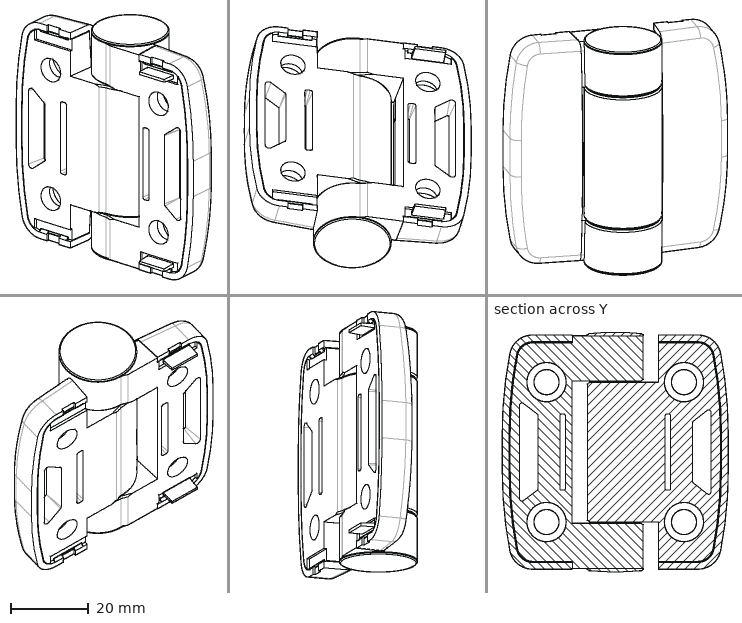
import cadquery as cq
import math


BARREL_R = 10.0
KNUCKLE_END_Z = 29.9
MIDDLE_HALF = 17.95
KNUCKLE_GAP = 0.25
KNUCKLE_CHAMFER = 0.45
CAP_TOP_Z = 31.25
CAP_RIM_Z = 30.45
CAP_RIM_CHAMFER = 0.3

BASE_Y = -10.55
SIDE_X = 29.0
END_Z = 30.1
SIDE_FLAT_HALF = 4.95
SIDE_SWEEP_DEG = 10.9
CORNER_R = 6.0
ROOF_Y = -0.05
ROOF_SLOPE_DEG = 4.9
ROOF_R = 300.15
ROOF_FILLET = 2.5
INNER_TOP_X = 10.7
INNER_BASE_X = 11.25
WEB_FLAT_X = 1.8

WALL = 1.8
CLEARANCE = 0.2
NOTCH_X = (15.0, 18.9)
NOTCH_DEPTH = 0.6
HOOK_X = (12.5, 21.45)
HOOK_TIP_Z = 27.5

SCREW_X = 17.65
SCREW_Z = 17.95
SCREW_HOLE_D = 6.4
SCREW_LAND = 3.5
SCREW_HEAD_D = 10.0
RELIEF_DEPTH = 0.75
RELIEF_INNER_Z = 24.95
MIDDLE_RELIEF_END_X = 22.95
OUTER_RELIEF_X = (11.7, 23.8)
POCKET_DEPTH = 5.6
POCKET_TAPER_DEG = 6.0
SLOT_X = (12.5, 14.5)
SLOT_HALF = 10.05
SLOT_CORNER_R = 0.6
TRAPEZOID_X = (19.5, 24.9)
MIDDLE_TRAPEZOID_HALVES = (7.95, 12.1)
OUTER_TRAPEZOID_HALVES = (9.8, 13.9)
TRAPEZOID_INNER_R = 0.6
TRAPEZOID_OUTER_R = 0.95

BLADE_ROOT_X = (13.5, 21.95)
BLADE_ROOT_Z = (25.75, 26.8)
BLADE_TIP_Y = -13.5
BLADE_TIP_INSET = 0.2
BLADE_TIP_THICKNESS = 0.75

FAR = 37.5


def box(x, y, z):
    """Box between the (low, high) limits given for each axis."""
    size = (x[1] - x[0], y[1] - y[0], z[1] - z[0])
    return cq.Workplane("XY").box(*size, centered=False).translate((x[0], y[0], z[0]))


def prism(points, z_low, z_high):
    """XY polygon extruded between two heights."""
    return cq.Workplane("XY").workplane(offset=z_low).polyline(points).close().extrude(z_high - z_low)


def both_ends(shape):
    """A shape together with its mirror image below the XY plane."""
    return shape.union(shape.mirror("XY"))


def on_other_side(shape):
    """A -X part, symmetric in Z, turned half round onto the +X side."""
    return shape.rotate((0, 0, 0), (0, 1, 0), 180)


def outline_prism(inset):
    """Upright block with the bowed outline, set in from the outer sides and reaching the hinge axis."""
    sweep = math.radians(SIDE_SWEEP_DEG)
    bow_r = (END_Z - SIDE_FLAT_HALF - CORNER_R) / math.sin(sweep) + CORNER_R
    corner_r = CORNER_R - inset
    side = SIDE_X - inset
    end = END_Z - inset
    bow_centre_x = bow_r - SIDE_X
    corner_x = bow_centre_x - (bow_r - CORNER_R) * math.cos(sweep)

    def bow_point(angle):
        radius = bow_r - inset
        return bow_centre_x - radius * math.cos(angle), SIDE_FLAT_HALF + radius * math.sin(angle)

    def corner_point(angle):
        return corner_x - corner_r * math.cos(angle), END_Z - CORNER_R + corner_r * math.sin(angle)

    bow_end = bow_point(sweep)
    bow_middle = bow_point(sweep / 2)
    corner_middle = corner_point((sweep + math.pi / 2) / 2)

    def below(point):
        return point[0], -point[1]

    return (
        cq.Workplane("XZ", origin=(0, BASE_Y, 0))
        .moveTo(0, -end)
        .lineTo(corner_x, -end)
        .threePointArc(below(corner_middle), below(bow_end))
        .threePointArc(below(bow_middle), (-side, -SIDE_FLAT_HALF))
        .lineTo(-side, SIDE_FLAT_HALF)
        .threePointArc(bow_middle, bow_end)
        .threePointArc(corner_middle, (corner_x, end))
        .lineTo(0, end)
        .close()
        .extrude(-FAR)
    )


def under_roof(drop):
    """Space below the sloping, crowned roof, lowered by a distance."""
    top = ROOF_Y - drop
    edge = top - ROOF_R + math.sqrt(ROOF_R**2 - FAR**2)
    return (
        cq.Workplane("YZ", origin=(-2 * FAR, 0, 0))
        .moveTo(-FAR, -FAR)
        .lineTo(edge, -FAR)
        .threePointArc((top, 0), (edge, FAR))
        .lineTo(-FAR, FAR)
        .close()
        .extrude(3 * FAR)
        .rotate((-INNER_TOP_X, top, 0), (-INNER_TOP_X, top, 1), ROOF_SLOPE_DEG)
    )


def outboard_of_edge():
    """Everything on the cover's side of the drafted inner edge."""
    draft = (INNER_BASE_X - INNER_TOP_X) / (ROOF_Y - BASE_Y)
    low_x = -INNER_TOP_X + draft * (-FAR - ROOF_Y)
    high_x = -INNER_TOP_X + draft * (FAR - ROOF_Y)
    points = [(-2 * FAR, -FAR), (low_x, -FAR), (high_x, FAR), (-2 * FAR, FAR)]
    return prism(points, -FAR, FAR)


def envelope():
    """Outer shape of cover and web, with the roof edge rounded."""
    body = outline_prism(0).intersect(under_roof(0))
    return body.faces(">Y").edges("not >X").fillet(ROOF_FILLET)


def cover_hook():
    """Wedge on the upper cover wall that snaps behind the leaf plate."""
    wall_z = END_Z - WALL
    tip_y = BASE_Y + NOTCH_DEPTH
    points = [(BASE_Y, wall_z + CLEARANCE), (BASE_Y, wall_z), (tip_y, HOOK_TIP_Z)]
    points += [(BASE_Y + RELIEF_DEPTH, HOOK_TIP_Z), (BASE_Y + RELIEF_DEPTH, wall_z + CLEARANCE)]
    length = HOOK_X[1] - HOOK_X[0]
    return cq.Workplane("YZ", origin=(-HOOK_X[1], 0, 0)).polyline(points).close().extrude(length)


def make_cover():
    """Snap-on cover: a shell with hooks and notches on both end walls."""
    cavity = outline_prism(WALL).intersect(under_roof(WALL))
    notch = box((-NOTCH_X[1], -NOTCH_X[0]), (BASE_Y, BASE_Y + NOTCH_DEPTH), (HOOK_TIP_Z, END_Z))
    shell = envelope().intersect(outboard_of_edge()).cut(cavity)
    return shell.union(both_ends(cover_hook())).cut(both_ends(notch))


def screw_bores(diameter, start_y):
    """Round bores at both screw positions, running upward from a height."""
    places = [(-SCREW_X, -SCREW_Z), (-SCREW_X, SCREW_Z)]
    base = cq.Workplane("XZ", origin=(0, start_y, 0))
    return base.pushPoints(places).circle(diameter / 2).extrude(-FAR)


def leaf_plate():
    """Plate that fills the cover, with its screw holes and head seats."""
    plate = outline_prism(WALL + CLEARANCE).intersect(under_roof(WALL)).intersect(outboard_of_edge())
    plate = plate.cut(screw_bores(SCREW_HOLE_D, BASE_Y))
    return plate.cut(screw_bores(SCREW_HEAD_D, BASE_Y + SCREW_LAND))


def tapered_pocket(x, inner_half, outer_half, inner_r, outer_r):
    """Blind pocket with four drafted sides; the half height may differ between inner and outer side."""
    inner_x, outer_x = -x[0], -x[1]
    corners = [(inner_x, -inner_half), (inner_x, inner_half), (outer_x, outer_half), (outer_x, -outer_half)]
    mouth = cq.Sketch().polygon(corners + corners[:1])
    mouth = mouth.vertices(">X").fillet(inner_r).reset().vertices("<X").fillet(outer_r).reset()
    base = cq.Workplane("XZ", origin=(0, BASE_Y, 0))
    return base.placeSketch(mouth).extrude(-POCKET_DEPTH, taper=POCKET_TAPER_DEG)


def hook_relief(x):
    """Shallow recess in the upper end of the plate."""
    return box((-x[1], -x[0]), (BASE_Y, BASE_Y + RELIEF_DEPTH), (RELIEF_INNER_Z, END_Z - WALL))


def barrel_segment(z_low, z_high):
    return cq.Workplane("XY").workplane(offset=z_low).circle(BARREL_R).extrude(z_high - z_low)


def web(z_low, z_high, chamfered_ends):
    """Part of the leaf between cover edge and barrel, its rising face chamfered at the given ends."""
    points = [(-FAR, BASE_Y), (-WEB_FLAT_X, BASE_Y), (0, -BARREL_R), (0, FAR), (-FAR, FAR)]
    body = envelope().cut(outboard_of_edge()).intersect(prism(points, z_low, z_high))
    for end_z in chamfered_ends:
        rising_edge = cq.NearestToPointSelector((-WEB_FLAT_X / 2, (BASE_Y - BARREL_R) / 2, end_z))
        body = body.edges(rising_edge).chamfer(KNUCKLE_CHAMFER)
    return body


def make_leaf(knuckles, trapezoid_halves, relief_x):
    """Leaf with the given knuckle solids, trapezoid half heights (inner, outer) and hook recess limits."""
    leaf = leaf_plate()
    for knuckle in knuckles:
        leaf = leaf.union(knuckle)
    leaf = leaf.cut(tapered_pocket(SLOT_X, SLOT_HALF, SLOT_HALF, SLOT_CORNER_R, SLOT_CORNER_R))
    leaf = leaf.cut(tapered_pocket(TRAPEZOID_X, *trapezoid_halves, TRAPEZOID_INNER_R, TRAPEZOID_OUTER_R))
    return leaf.cut(both_ends(hook_relief(relief_x)))


def make_middle_leaf():
    """Leaf on the -X side, carrying the middle knuckle."""
    segment = barrel_segment(-MIDDLE_HALF, MIDDLE_HALF).faces("<Z or >Z").chamfer(KNUCKLE_CHAMFER)
    knuckle = web(-MIDDLE_HALF, MIDDLE_HALF, (-MIDDLE_HALF, MIDDLE_HALF)).union(segment)
    return make_leaf([knuckle], MIDDLE_TRAPEZOID_HALVES, (INNER_TOP_X, MIDDLE_RELIEF_END_X))


def locating_blade():
    """Tapered blade that stands on the floor of the upper hook recess."""
    root_y = BASE_Y + RELIEF_DEPTH
    length = BLADE_ROOT_X[1] - BLADE_ROOT_X[0]
    thickness = BLADE_ROOT_Z[1] - BLADE_ROOT_Z[0]
    middle_x = sum(BLADE_ROOT_X) / 2
    return (
        cq.Workplane("XZ", origin=(-middle_x, root_y, BLADE_ROOT_Z[1]))
        .center(0, -thickness / 2)
        .rect(length, thickness)
        .workplane(offset=root_y - BLADE_TIP_Y)
        .center(0, (thickness - BLADE_TIP_THICKNESS) / 2)
        .rect(length - 2 * BLADE_TIP_INSET, BLADE_TIP_THICKNESS)
        .loft()
    )


def make_outer_leaf():
    """Leaf on the +X side, carrying the two outer knuckles and the locating blades."""
    inner_end = MIDDLE_HALF + KNUCKLE_GAP
    segment = barrel_segment(inner_end, KNUCKLE_END_Z).faces("<Z").chamfer(KNUCKLE_CHAMFER)
    knuckle = web(inner_end, KNUCKLE_END_Z, [inner_end]).union(segment)
    leaf = make_leaf([knuckle, knuckle.mirror("XY")], OUTER_TRAPEZOID_HALVES, OUTER_RELIEF_X)
    return on_other_side(leaf.union(both_ends(locating_blade())))


def make_cap():
    """Domed cap on the upper end of the barrel."""
    rim_r = BARREL_R - CAP_RIM_CHAMFER
    rise = CAP_TOP_Z - CAP_RIM_Z
    dome_r = (rim_r**2 + rise**2) / (2 * rise)
    middle_r = rim_r / 2
    middle_z = CAP_TOP_Z - dome_r + math.sqrt(dome_r**2 - middle_r**2)
    return (
        cq.Workplane("XZ")
        .moveTo(0, KNUCKLE_END_Z)
        .lineTo(BARREL_R, KNUCKLE_END_Z)
        .lineTo(BARREL_R, CAP_RIM_Z - CAP_RIM_CHAMFER)
        .lineTo(rim_r, CAP_RIM_Z)
        .threePointArc((middle_r, middle_z), (0, CAP_TOP_Z))
        .close()
        .revolve(360, (0, 0, 0), (0, 1, 0))
    )


middle_leaf = make_middle_leaf()
outer_leaf = make_outer_leaf()

left_cover = make_cover()
covers = [left_cover, on_other_side(left_cover)]

upper_cap = make_cap()
caps = [upper_cap, upper_cap.mirror("XY")]

result = cq.Compound.makeCompound(
    [body.val() for body in [middle_leaf, outer_leaf, *covers, *caps]]
)